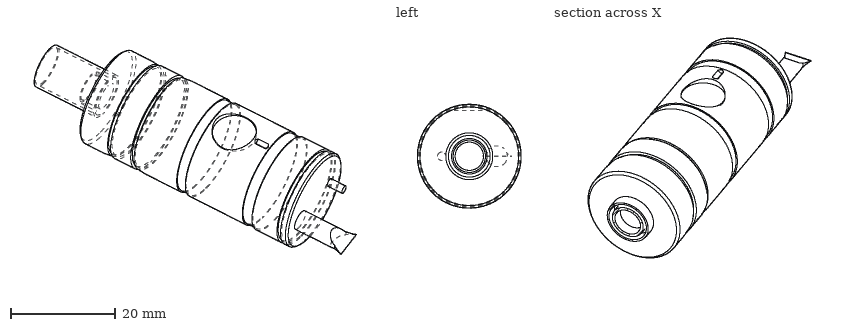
import cadquery as cq
import math


body_radius = 19.96 / 2
body_start = 13.5
nose_face = 60.7
rear_chamfer = 0.5
nose_chamfer = 0.4

coupling_groove = (19.95, 20.75, 9.4)
rear_groove = (25.3, 25.95, 9.4)
nose_groove = (58.4, 59.2, 9.55)

taper_radius = 9.8
coupling_taper_start = 18.4
rear_taper_end = 27.7

band_radius = 19.4 / 2
bands = [(35.7, 37.65), (50.55, 52.75)]

tube_radius = 9.0 / 2
tube_bore_radius = 8.0 / 2
bore_floor = body_start
post_radius = 6.8 / 2
post_end_radius = 6.2 / 2
post_hole_radius = 5.43 / 2
post_length = 4.0
post_fillet = 0.5

spot_radius = 8.5 / 2
spot_x = 42.5
spot_floor = 8.8
slot_radius = 0.58
slot_length = 3.1
slot_end_length = 0.35
slot_x = 48.7

tool_radius = 4.01 / 2
tool_y = -5.3
tool_tip = 71.7
pin_radius = 1.6 / 2
pin_y = 5.3
pin_length = 3.3
embed = 2.0

bevel_start = 67.9
relief_start = 68.5
relief_half_thickness = 1.45
tip_half_thickness = 0.06
flare_start = 69.8
flare_half_width = 2.8


def x_cylinder(start, end, radius, y=0.0):
    """Solid cylinder lying along X."""
    return cq.Workplane("YZ", origin=(start, y, 0)).circle(radius).extrude(end - start)


def ring(start, end, floor_radius):
    """Cutter that turns the barrel down to floor_radius between two stations."""
    clearance_radius = 2 * body_radius
    return x_cylinder(start, end, clearance_radius).cut(x_cylinder(start, end, floor_radius))


def taper_cutter(full_station, low_station):
    """Cutter for a shallow cone from the full body radius down to taper_radius."""
    outline = [
        (full_station, body_radius),
        (low_station, body_radius),
        (low_station, taper_radius),
    ]
    return cq.Workplane("XY").polyline(outline).close().revolve(360, (0, 0, 0), (1, 0, 0))


def make_barrel():
    barrel = x_cylinder(body_start, nose_face, body_radius)
    barrel = barrel.faces("<X").chamfer(rear_chamfer)
    barrel = barrel.faces(">X").chamfer(nose_chamfer)
    for start, end, floor_radius in (coupling_groove, rear_groove, nose_groove):
        barrel = barrel.cut(ring(start, end, floor_radius))
    for start, end in bands:
        barrel = barrel.cut(ring(start, end, band_radius))
    barrel = barrel.cut(taper_cutter(coupling_taper_start, coupling_groove[0]))
    return barrel.cut(taper_cutter(rear_taper_end, rear_groove[1]))


def make_rear_tube():
    """Tube wall plus the hollow post, which is filleted into the bore floor."""
    tube = x_cylinder(0, body_start, tube_radius)
    tube = tube.cut(x_cylinder(0, bore_floor, tube_bore_radius))
    post_end = bore_floor - post_length
    end_chamfer = post_radius - post_end_radius
    fillet_reach = post_fillet * (1 - math.sqrt(0.5))
    post = (
        cq.Workplane("XY")
        .moveTo(post_end, post_hole_radius)
        .lineTo(post_end, post_end_radius)
        .lineTo(post_end + end_chamfer, post_radius)
        .lineTo(bore_floor - post_fillet, post_radius)
        .threePointArc(
            (bore_floor - fillet_reach, post_radius + fillet_reach),
            (bore_floor, post_radius + post_fillet),
        )
        .lineTo(bore_floor, post_hole_radius)
        .close()
        .revolve(360, (0, 0, 0), (1, 0, 0))
    )
    return tube, post


def make_spot_cutter():
    return cq.Workplane("XY", origin=(spot_x, 0, spot_floor)).circle(spot_radius).extrude(body_radius)


def make_slot_cutter():
    """Round-bottomed slot cutter with conical ends, centred on the top line of the barrel."""
    half_length = slot_length / 2
    half_run = half_length - slot_end_length
    outline = [
        (-half_length, 0),
        (-half_run, slot_radius),
        (half_run, slot_radius),
        (half_length, 0),
    ]
    cutter = cq.Workplane("XY").polyline(outline).close().revolve(360, (0, 0, 0), (1, 0, 0))
    return cutter.translate((slot_x, 0, body_radius))


def make_tool():
    """Round shank thinned on both sides by concave reliefs to a flared cutting blade."""
    shank = x_cylinder(nose_face - embed, tool_tip, tool_radius, tool_y)
    flare = (
        cq.Workplane("XY", origin=(0, tool_y, -tool_radius))
        .moveTo(flare_start, -tool_radius)
        .lineTo(tool_tip, -flare_half_width)
        .lineTo(tool_tip, flare_half_width)
        .lineTo(flare_start, tool_radius)
        .close()
        .extrude(2 * tool_radius)
    )

    run = tool_tip - relief_start
    rise = relief_half_thickness - tip_half_thickness
    relief_radius = (run**2 + rise**2) / (2 * rise)
    half_sweep = math.asin(run / relief_radius) / 2
    middle_x = tool_tip - relief_radius * math.sin(half_sweep)
    middle_z = tip_half_thickness + relief_radius * (1 - math.cos(half_sweep))
    side_envelope = (
        cq.Workplane("XZ", origin=(0, tool_y, 0))
        .moveTo(nose_face - embed, tool_radius)
        .lineTo(bevel_start, tool_radius)
        .lineTo(relief_start, relief_half_thickness)
        .threePointArc((middle_x, middle_z), (tool_tip, tip_half_thickness))
        .lineTo(tool_tip, -tip_half_thickness)
        .threePointArc((middle_x, -middle_z), (relief_start, -relief_half_thickness))
        .lineTo(bevel_start, -tool_radius)
        .lineTo(nose_face - embed, -tool_radius)
        .close()
        .extrude(2 * flare_half_width, both=True)
    )
    return shank.union(flare).intersect(side_envelope)


def make_pin():
    return x_cylinder(nose_face - embed, nose_face + pin_length, pin_radius, pin_y)


tube, post = make_rear_tube()
result = make_barrel().union(tube).union(post)
result = result.cut(make_spot_cutter()).cut(make_slot_cutter())
result = result.union(make_tool()).union(make_pin())